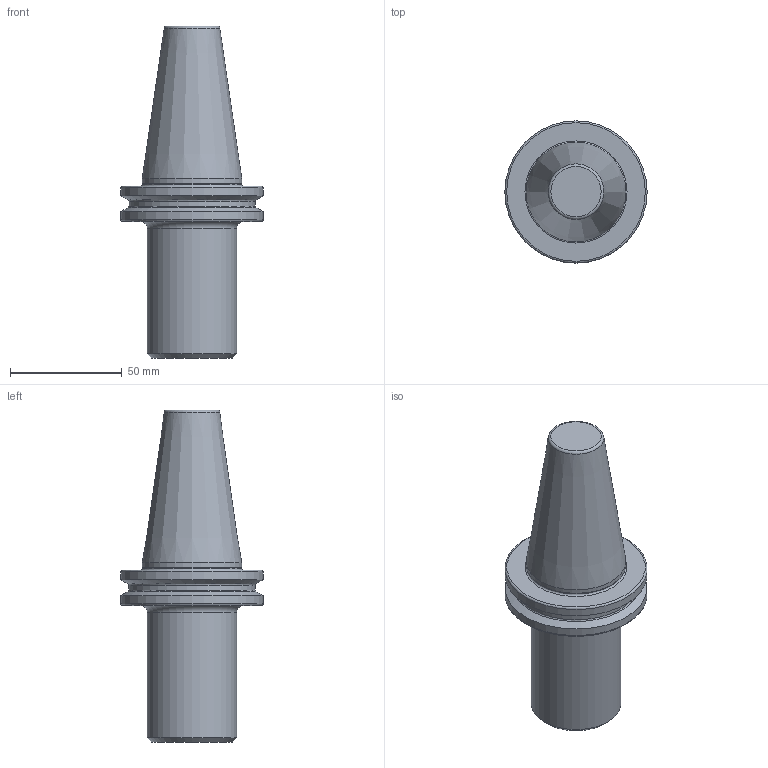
import cadquery as cq
import math

gauge_radius = 44.45 / 2
taper_length = 68.25
taper_ratio = 7 / 24
tip_radius = gauge_radius - taper_ratio * taper_length / 2
tip_fillet = 1.2

flange_radius = 63.5 / 2
flange_top = -3.2
flange_bottom = -19.05
flange_edge_fillet = 0.8

neck_radius = 22.0
neck_top = -2.0
neck_fillet = 0.8

groove_center = -11.1
groove_floor_radius = 56.35 / 2
groove_floor_width = 3.0
groove_flank_angle = 30.0
groove_floor_fillet = 0.8

groove_depth = flange_radius - groove_floor_radius
groove_flank_rise = groove_depth * math.tan(math.radians(groove_flank_angle))
groove_floor_top = groove_center + groove_floor_width / 2
groove_floor_bottom = groove_center - groove_floor_width / 2

body_radius = 40.0 / 2
body_bottom = -80.0
body_chamfer = 2.0
body_fillet = 3.0


def ring_edges(solid, radius, height):
    """Circular edges of the solid with the given radius and height."""
    tolerance = 1e-4
    return [
        edge
        for edge in solid.Edges()
        if edge.geomType() == "CIRCLE"
        and abs(edge.radius() - radius) < tolerance
        and abs(edge.Center().z - height) < tolerance
    ]


def make_blank():
    """Revolve the sharp-cornered half section, listed from the taper tip down to the body end."""
    half_section = [
        (0, taper_length),
        (tip_radius, taper_length),
        (gauge_radius, 0),
        (gauge_radius, neck_top),
        (neck_radius, neck_top),
        (neck_radius, flange_top),
        (flange_radius, flange_top),
        (flange_radius, groove_floor_top + groove_flank_rise),
        (groove_floor_radius, groove_floor_top),
        (groove_floor_radius, groove_floor_bottom),
        (flange_radius, groove_floor_bottom - groove_flank_rise),
        (flange_radius, flange_bottom),
        (body_radius, flange_bottom),
        (body_radius, body_bottom),
        (0, body_bottom),
    ]
    profile = cq.Workplane("XZ").polyline(half_section).close()
    return profile.revolve(360, (0, 0, 0), (0, 1, 0)).val()


def round_corners(solid):
    """Fillet the taper tip, the flange rims and the inside corners."""
    rounded_rings = [
        (tip_radius, taper_length, tip_fillet),
        (neck_radius, flange_top, neck_fillet),
        (flange_radius, flange_top, flange_edge_fillet),
        (groove_floor_radius, groove_floor_top, groove_floor_fillet),
        (groove_floor_radius, groove_floor_bottom, groove_floor_fillet),
        (flange_radius, flange_bottom, flange_edge_fillet),
        (body_radius, flange_bottom, body_fillet),
    ]
    for radius, height, fillet in rounded_rings:
        solid = solid.fillet(fillet, ring_edges(solid, radius, height))
    return solid


def chamfer_body_end(solid):
    """Bevel the lower rim of the body."""
    return solid.chamfer(body_chamfer, None, ring_edges(solid, body_radius, body_bottom))


result = cq.Workplane(chamfer_body_end(round_corners(make_blank())))